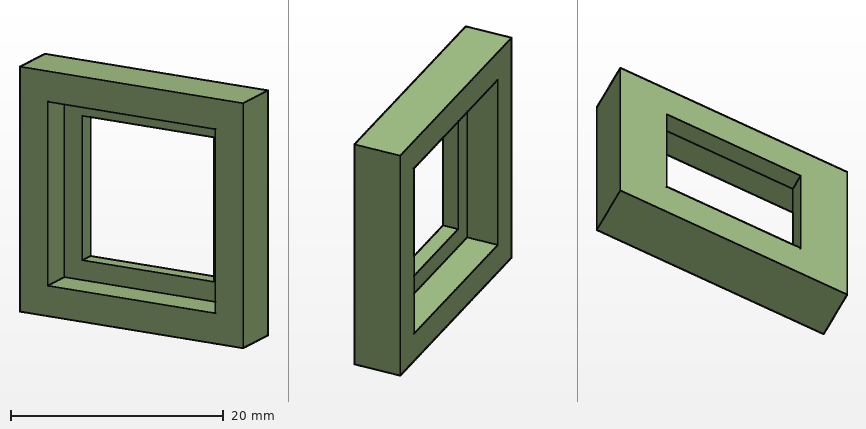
import cadquery as cq

outer_side = 24.1
frame_depth = 4.8
pocket_side = 18.1
pocket_depth = 3.2
opening_side = 14.2


def square_block(side, depth):
    """Square block centred on the Y axis, running from the front face toward +Y."""
    return cq.Workplane("XY").box(side, depth, side, centered=(True, False, True))


frame = square_block(outer_side, frame_depth)

pocket = square_block(pocket_side, pocket_depth)
opening = square_block(opening_side, frame_depth)

result = frame.cut(pocket).cut(opening)